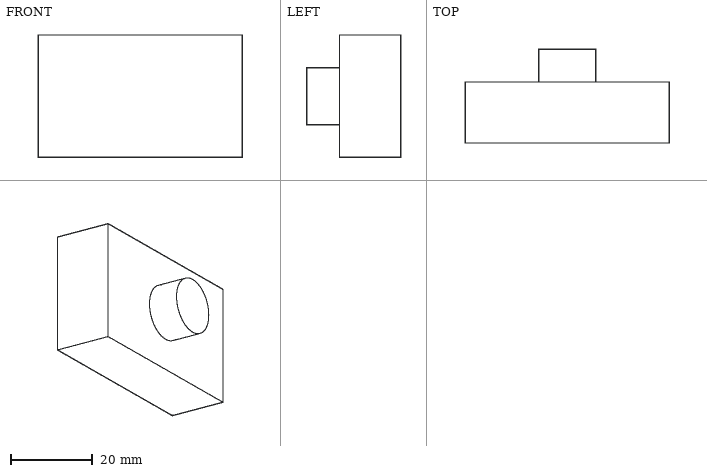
import cadquery as cq

block_length = 50.0
block_depth = 15.0
block_height = 30.0

boss_diameter = 14.0
boss_length = 8.0

block = cq.Workplane("XY").box(block_length, block_depth, block_height)

result = block.faces(">Y").workplane().circle(boss_diameter / 2).extrude(boss_length)